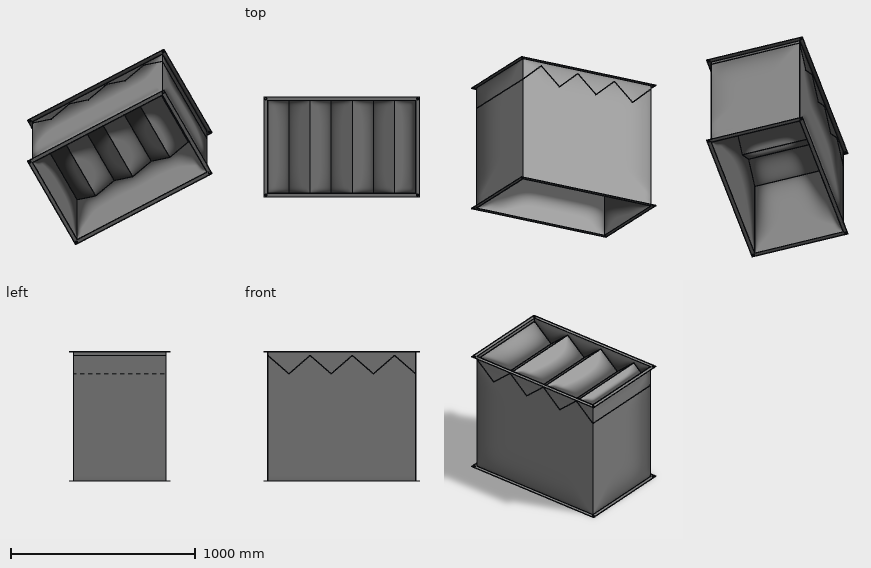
import cadquery as cq
import math

length = 842.0
width = 542.0
height = 700.0

wall = 1.0
flange_width = 20.0
flange_thickness = 1.0
hole_diameter = 9.0
hole_inset = 11.0

duct_length = length - 2 * flange_width
duct_width = width - 2 * flange_width
inner_length = duct_length - 2 * wall
inner_width = duct_width - 2 * wall

peak_drop = 19.0
pleat_depth = 99.0
slope_count = 7
sheet_thickness = 1.0
slope_run = inner_length / slope_count
peak_z = height - peak_drop
valley_z = peak_z - pleat_depth
sheet_drop = sheet_thickness * math.hypot(slope_run, pleat_depth) / slope_run


def make_flange(base_z):
    """Flat rectangular rim with one bolt hole in each corner."""
    return (
        cq.Workplane("XY", origin=(0, 0, base_z))
        .rect(length, width)
        .rect(inner_length, inner_width)
        .extrude(flange_thickness)
        .faces(">Z")
        .workplane(origin=(0, 0, base_z))
        .rect(length - 2 * hole_inset, width - 2 * hole_inset, forConstruction=True)
        .vertices()
        .hole(hole_diameter)
    )


def make_duct():
    """Open rectangular tube with a flange at each end."""
    tube = (
        cq.Workplane("XY")
        .rect(duct_length, duct_width)
        .rect(inner_length, inner_width)
        .extrude(height)
    )
    return tube.union(make_flange(0)).union(make_flange(height - flange_thickness))


def make_filter():
    """Pleated sheet across the duct, starting on a peak at -X and ending in a valley at +X."""
    upper_edge = [
        (-inner_length / 2 + i * slope_run, peak_z if i % 2 == 0 else valley_z)
        for i in range(slope_count + 1)
    ]
    lower_edge = [(x, z - sheet_drop) for x, z in reversed(upper_edge)]
    return (
        cq.Workplane("XZ")
        .polyline(upper_edge + lower_edge)
        .close()
        .extrude(inner_width / 2, both=True)
    )


duct = make_duct()
pleated_filter = make_filter()

result = cq.Compound.makeCompound([duct.val(), pleated_filter.val()])